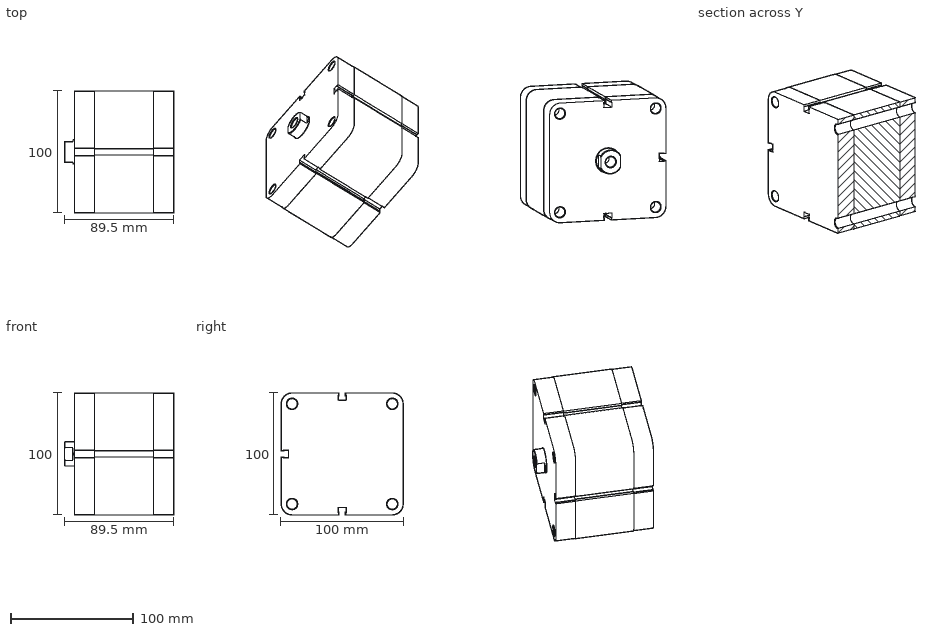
import cadquery as cq

overall_length = 89.5
rod_projection = 8.0
barrel_length = 48.5
cap_length = (overall_length - rod_projection - barrel_length) / 2
barrel_start = cap_length
rear_cap_start = barrel_start + barrel_length

barrel_width = 100.0
cap_width = 99.6
corner_radius = 9.0

bolt_spacing = 82.0
bolt_hole_diameter = 8.4
bolt_hole_chamfer = 0.5

slot_depth = 6.0
slot_floor = barrel_width / 2 - slot_depth
cap_lip_half_width = 2.95
cap_floor_half_width = 3.4
cap_lip_inner = 48.0
barrel_lip_half_width = 2.5
barrel_floor_half_width = 2.95
barrel_lip_inner = 47.6
slot_angles = (0, 180, 90)

rod_diameter = 20.0
rod_tip_chamfer = 0.5
rod_bore_chamfer = 0.5
flat_spacing = 17.0
flat_length = 6.6
flat_runout = 0.6

thread_hole_diameter = 8.5
thread_hole_chamfer = 0.6
thread_hole_depth = 18.0
drill_tip_depth = 2.7


def square_prism(width, start, length):
    """Square block along X with rounded long edges."""
    return (
        cq.Workplane("YZ", origin=(start, 0, 0))
        .rect(width, width)
        .extrude(length)
        .edges("|X")
        .fillet(corner_radius)
    )


def bolt_holes(start, length):
    return (
        cq.Workplane("YZ", origin=(start, 0, 0))
        .rect(bolt_spacing, bolt_spacing, forConstruction=True)
        .vertices()
        .circle(bolt_hole_diameter / 2)
        .extrude(length)
    )


def cut_slots(body, half_profile, start, length):
    """Cut the three slots; half_profile lists (half width, height) from mouth to floor."""
    mirrored = [(-half_width, height) for half_width, height in reversed(half_profile)]
    slot = cq.Workplane("YZ", origin=(start, 0, 0)).polyline(half_profile + mirrored).close().extrude(length)
    for angle in slot_angles:
        body = body.cut(slot.rotate((0, 0, 0), (1, 0, 0), angle))
    return body


slot_overshoot = 1.0
slot_mouth = barrel_width / 2 + slot_overshoot
cap_slot = [
    (cap_lip_half_width, slot_mouth),
    (cap_lip_half_width, cap_lip_inner),
    (cap_floor_half_width, cap_lip_inner),
    (cap_floor_half_width, slot_floor),
]
barrel_slot = [
    (barrel_lip_half_width, slot_mouth),
    (barrel_lip_half_width, barrel_lip_inner),
    (barrel_floor_half_width, barrel_lip_inner),
    (barrel_floor_half_width, slot_floor),
]


def make_cap(start, outer_face):
    """End cap with bolt holes chamfered on its outer face ("<X" or ">X")."""
    cap = square_prism(cap_width, start, cap_length)
    cap = cap.cut(bolt_holes(start, cap_length))
    hole_rims = cap.faces(outer_face).edges("%CIRCLE").edges(cq.selectors.RadiusNthSelector(0))
    cap = hole_rims.chamfer(bolt_hole_chamfer)
    return cut_slots(cap, cap_slot, start, cap_length)


def make_front_cap():
    """Front cap with a chamfered bore for the piston rod."""
    bore = cq.Workplane("YZ").circle(rod_diameter / 2).extrude(cap_length)
    mouth = (
        cq.Workplane("YZ")
        .circle(rod_diameter / 2 + rod_bore_chamfer)
        .workplane(offset=rod_bore_chamfer)
        .circle(rod_diameter / 2)
        .loft()
    )
    return make_cap(0, "<X").cut(bore).cut(mouth)


def make_barrel():
    barrel = square_prism(barrel_width, barrel_start, barrel_length)
    barrel = barrel.cut(bolt_holes(barrel_start, barrel_length))
    return cut_slots(barrel, barrel_slot, barrel_start, barrel_length)


def make_rod():
    """Piston rod with two wrench flats and a chamfered blind hole in its tip."""
    tip = -rod_projection
    radius = rod_diameter / 2
    rod = cq.Workplane("YZ", origin=(tip, 0, 0)).circle(radius).extrude(rod_projection + cap_length)
    rod = rod.faces("<X").chamfer(rod_tip_chamfer)

    flat_end = tip + flat_length
    flat = (
        cq.Workplane("XY", origin=(0, 0, -radius))
        .moveTo(tip, flat_spacing / 2)
        .lineTo(flat_end, flat_spacing / 2)
        .lineTo(flat_end + flat_runout, radius)
        .lineTo(tip, radius)
        .close()
        .extrude(rod_diameter)
    )
    rod = rod.cut(flat).cut(flat.mirror("XZ"))

    hole_radius = thread_hole_diameter / 2
    drill_end = tip + thread_hole_depth
    drill = (
        cq.Workplane("XY")
        .moveTo(tip, 0)
        .lineTo(tip, hole_radius + thread_hole_chamfer)
        .lineTo(tip + thread_hole_chamfer, hole_radius)
        .lineTo(drill_end, hole_radius)
        .lineTo(drill_end + drill_tip_depth, 0)
        .close()
        .revolve(360, (0, 0, 0), (1, 0, 0))
    )
    return rod.cut(drill)


front_cap = make_front_cap()
barrel = make_barrel()
rear_cap = make_cap(rear_cap_start, ">X")
piston_rod = make_rod()

result = cq.Compound.makeCompound([
    front_cap.val(),
    barrel.val(),
    rear_cap.val(),
    piston_rod.val(),
])